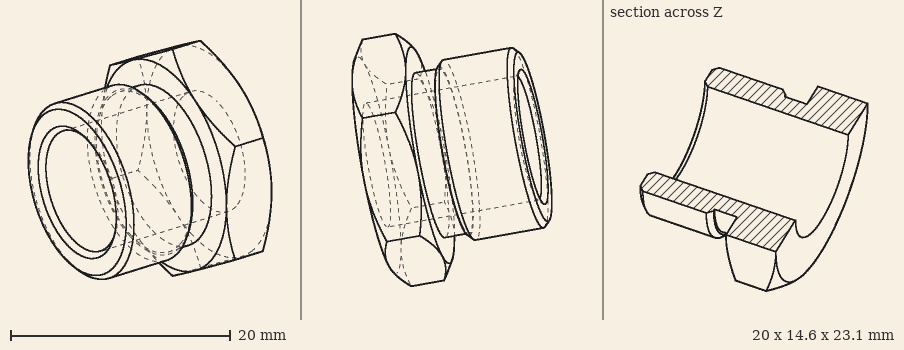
import cadquery as cq
import math

across_corners = 23.1
across_flats = across_corners * math.cos(math.pi / 6)
total_length = 14.6
head_length = 5.0
neck_length = 2.22
neck_diameter = 15.25
body_diameter = 16.67
bore_diameter = 11.45
edge_chamfer = 0.5
head_corner_drop = 0.97

neck_start = head_length
body_start = head_length + neck_length


def revolve_profile(points):
    """Revolve (radius, distance from head face) points about the Y axis."""
    placed = [(radius, -distance) for radius, distance in points]
    return cq.Workplane("XY").polyline(placed).close().revolve(360, (0, 0), (0, 1))


def make_head():
    """Hexagon with corners on Z, both ends turned down conically to the flats."""
    hexagon = (
        cq.Workplane("XZ")
        .polygon(6, across_corners)
        .extrude(head_length)
        .rotate((0, 0, 0), (0, 1, 0), 90)
    )
    corner_radius = across_corners / 2
    face_radius = across_flats / 2
    envelope = revolve_profile([
        (0, 0),
        (face_radius, 0),
        (corner_radius, head_corner_drop),
        (corner_radius, head_length - head_corner_drop),
        (face_radius, head_length),
        (0, head_length),
    ])
    return hexagon.intersect(envelope)


def make_shank():
    """Relief neck followed by the body, chamfered at both of its ends."""
    neck_radius = neck_diameter / 2
    body_radius = body_diameter / 2
    chamfer_radius = body_radius - edge_chamfer
    return revolve_profile([
        (0, neck_start),
        (neck_radius, neck_start),
        (neck_radius, body_start),
        (chamfer_radius, body_start),
        (body_radius, body_start + edge_chamfer),
        (body_radius, total_length - edge_chamfer),
        (chamfer_radius, total_length),
        (0, total_length),
    ])


def make_bore():
    """Through bore, countersunk at the open end of the shank."""
    bore_radius = bore_diameter / 2
    return revolve_profile([
        (0, 0),
        (bore_radius, 0),
        (bore_radius, total_length - edge_chamfer),
        (bore_radius + edge_chamfer, total_length),
        (0, total_length),
    ])


result = make_head().union(make_shank()).cut(make_bore())